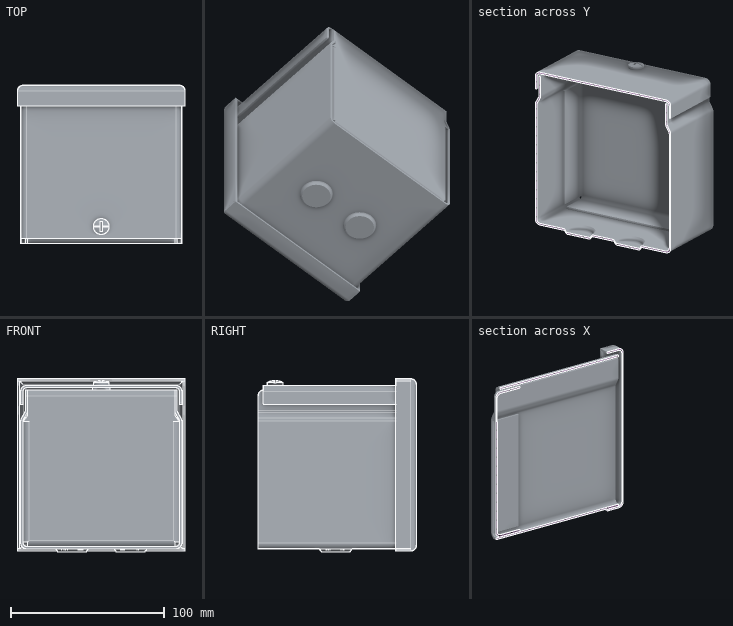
import cadquery as cq

SHEET = 1.52
BEND_INSIDE = 2.38
BEND_OUTSIDE = BEND_INSIDE + SHEET

DEPTH = 103.1
FRONT = -DEPTH / 2
BACK = DEPTH / 2

HOOD_WIDTH = 109.18
HOOD_TOP = 56.4
HOOD_BOTTOM = -55.75
HOOD_DEPTH = 13.6
HOOD_FRONT = BACK - HOOD_DEPTH
HOOD_BEND_START = BACK - BEND_OUTSIDE
HOOD_SEAM = 0.1

BODY_WIDTH = 104.8
BODY_BOTTOM = HOOD_BOTTOM + SHEET
BODY_TOP = 49.2
JOG_STEP = 2 * SHEET
JOG_LOW = 29.8
JOG_HIGH = 35.1

COVER_TOP = 52.05
COVER_UNDERSIDE = COVER_TOP - SHEET
COVER_SKIRT_BOTTOM = 39.5
COVER_FRONT = -48.2
COVER_SKIRT_CORNER = 1.0
COVER_BACK_HOLE_DIAMETER = 7.06
COVER_BACK_HOLE_Y = 42.0

PANEL_FLANGE = 20.0
PANEL_BENT_SIDE_TOP = 28.6
PANEL_TAPER_TOP = 32.6
PANEL_CORNER_RELIEF = 2.8

EMBOSS_SPACING = 38.1
EMBOSS_Y = -1.0
EMBOSS_BASE_DIAMETER = 21.5
EMBOSS_END_DIAMETER = 18.4
EMBOSS_LOWEST = -56.4
EMBOSS_HEIGHT = BODY_BOTTOM - EMBOSS_LOWEST

SCREW_Y = -40.4
SCREW_SHANK_DIAMETER = 4.98
SCREW_SHANK_LENGTH = 12.0
SCREW_CLEARANCE_DIAMETER = 6.35
HEAD_DIAMETER = 10.31
HEAD_HEIGHT = 3.2
HEAD_RIM_HEIGHT = 1.9
SLOT_WIDTH = 0.9
SLOT_DEPTH = 1.6
RECESS_WIDTH = 1.6
RECESS_LENGTH = 6.4
RECESS_DEPTH = 1.8
WASHER_DIAMETER = 11.51


def block(x_size, y_range, z_range):
    """Box centred on X that spans the given Y and Z ranges."""
    y_low, y_high = y_range
    z_low, z_high = z_range
    box = cq.Workplane("XY").box(x_size, y_high - y_low, z_high - z_low, centered=(True, False, False))
    return box.translate((0, y_low, z_low))


def disc(diameter, z_low, z_high, y):
    """Upright cylinder on the centre plane of the box."""
    return cq.Workplane("XY", origin=(0, y, z_low)).circle(diameter / 2).extrude(z_high - z_low)


def make_hood():
    """Shallow tray with rolled back edges, open to the front."""
    hood = block(HOOD_WIDTH, (HOOD_FRONT, BACK), (HOOD_BOTTOM, HOOD_TOP))
    hood = hood.faces(">Y").edges().fillet(BEND_OUTSIDE)
    hood = hood.faces("<Y").shell(-SHEET)

    tray_half = HOOD_WIDTH / 2
    for z in (HOOD_BOTTOM + SHEET, HOOD_TOP - SHEET - HOOD_SEAM):
        for side in (-1, 1):
            seam = block(2 * SHEET, (HOOD_FRONT, HOOD_BEND_START), (z, z + HOOD_SEAM))
            hood = hood.cut(seam.translate((side * tray_half, 0, 0)))
    return hood


def make_body_block():
    """Solid bounded by the outside of the body."""
    half_low = BODY_WIDTH / 2
    half_high = half_low - JOG_STEP
    right_side = [(half_low, BODY_BOTTOM), (half_low, JOG_LOW), (half_high, JOG_HIGH), (half_high, BODY_TOP)]
    left_side = [(-x, z) for x, z in reversed(right_side)]
    profile = cq.Workplane("XZ", origin=(0, FRONT, 0)).polyline(right_side + left_side).close()
    solid = profile.extrude(FRONT - HOOD_BEND_START)

    def bend(solid, z, radius):
        edges = solid.edges("|Y").filter(lambda edge: abs(edge.Center().z - z) < SHEET)
        return solid.newObject(edges.vals()).fillet(radius)

    solid = bend(solid, BODY_BOTTOM, BEND_OUTSIDE)
    solid = bend(solid, JOG_LOW, BEND_OUTSIDE)
    return bend(solid, JOG_HIGH, BEND_INSIDE)


def emboss_cone(x, lift):
    """Tapered plug below the floor, raised by lift."""
    base = cq.Workplane("XY", origin=(x, EMBOSS_Y, BODY_BOTTOM + lift)).circle(EMBOSS_BASE_DIAMETER / 2)
    return base.workplane(offset=-EMBOSS_HEIGHT).circle(EMBOSS_END_DIAMETER / 2).loft()


def make_body():
    body = make_body_block().faces(">Z or <Y or >Y").shell(-SHEET)
    body = body.faces(">Z").edges("<Y").fillet(BEND_OUTSIDE)
    for x in (-EMBOSS_SPACING / 2, EMBOSS_SPACING / 2):
        body = body.union(emboss_cone(x, 0)).cut(emboss_cone(x, SHEET))
    return body


def make_panel():
    inner_width = BODY_WIDTH - 2 * SHEET
    floor = BODY_BOTTOM + SHEET
    flange_back = FRONT + PANEL_FLANGE

    panel = block(inner_width, (FRONT, flange_back), (floor, PANEL_BENT_SIDE_TOP))
    panel = panel.faces("<Y").edges("not >Z").fillet(BEND_OUTSIDE)
    panel = panel.faces(">Y or >Z").shell(-SHEET)
    for side in (-1, 1):
        relief = block(2 * PANEL_CORNER_RELIEF, (FRONT, flange_back), (floor, floor + PANEL_CORNER_RELIEF))
        panel = panel.cut(relief.translate((side * inner_width / 2, 0, 0)))

    wide = inner_width / 2
    narrow = wide - JOG_STEP
    right_edge = [(wide, PANEL_BENT_SIDE_TOP), (narrow, PANEL_TAPER_TOP), (narrow, BODY_TOP)]
    left_edge = [(-x, z) for x, z in reversed(right_edge)]
    outline = cq.Workplane("XZ", origin=(0, FRONT, 0)).polyline(right_edge + left_edge).close()
    upper = outline.extrude(-PANEL_FLANGE)
    upper = upper.faces("<Y").edges(">Z").fillet(BEND_OUTSIDE)
    upper = upper.faces("not (<Y or >Z or %CYLINDER)").shell(-SHEET)
    panel = panel.union(upper)

    return panel.cut(disc(SCREW_SHANK_DIAMETER, BODY_TOP - SHEET, BODY_TOP, SCREW_Y))


def make_cover():
    cover = block(BODY_WIDTH, (COVER_FRONT, HOOD_BEND_START), (COVER_SKIRT_BOTTOM, COVER_TOP))
    cover = cover.faces(">Z").edges("|Y").fillet(BEND_OUTSIDE)
    cover = cover.faces("<Z or <Y or >Y").shell(-SHEET)
    cover = cover.faces("<Z").edges("<Y").fillet(COVER_SKIRT_CORNER)
    cover = cover.cut(disc(SCREW_CLEARANCE_DIAMETER, COVER_UNDERSIDE, COVER_TOP, SCREW_Y))
    return cover.cut(disc(COVER_BACK_HOLE_DIAMETER, COVER_UNDERSIDE, COVER_TOP, COVER_BACK_HOLE_Y))


def make_screw():
    """Domed-head screw with a full slot crossed by a shorter recess."""
    head_top = COVER_TOP + HEAD_HEIGHT
    rise = HEAD_HEIGHT - HEAD_RIM_HEIGHT
    dome_radius = ((HEAD_DIAMETER / 2) ** 2 + rise**2) / (2 * rise)
    dome = cq.Workplane("XY").sphere(dome_radius).translate((0, SCREW_Y, head_top - dome_radius))
    head = disc(HEAD_DIAMETER, COVER_TOP, head_top, SCREW_Y).intersect(dome)
    slot = block(HEAD_DIAMETER, (-SLOT_WIDTH / 2, SLOT_WIDTH / 2), (head_top - SLOT_DEPTH, head_top))
    recess = block(RECESS_WIDTH, (-RECESS_LENGTH / 2, RECESS_LENGTH / 2), (head_top - RECESS_DEPTH, head_top))
    head = head.cut(slot.union(recess).translate((0, SCREW_Y, 0)))
    return head.union(disc(SCREW_SHANK_DIAMETER, COVER_TOP - SCREW_SHANK_LENGTH, COVER_TOP, SCREW_Y))


def make_washer():
    """Retaining washer that fills the gap between the cover and the panel flange."""
    washer = disc(WASHER_DIAMETER, BODY_TOP, COVER_UNDERSIDE, SCREW_Y)
    return washer.cut(disc(SCREW_SHANK_DIAMETER, BODY_TOP, COVER_UNDERSIDE, SCREW_Y))


hood = make_hood()
body = make_body()
panel = make_panel()
cover = make_cover()
screw = make_screw()
washer = make_washer()

result = cq.Compound.makeCompound(
    [hood.val(), body.val(), panel.val(), cover.val(), screw.val(), washer.val()]
)